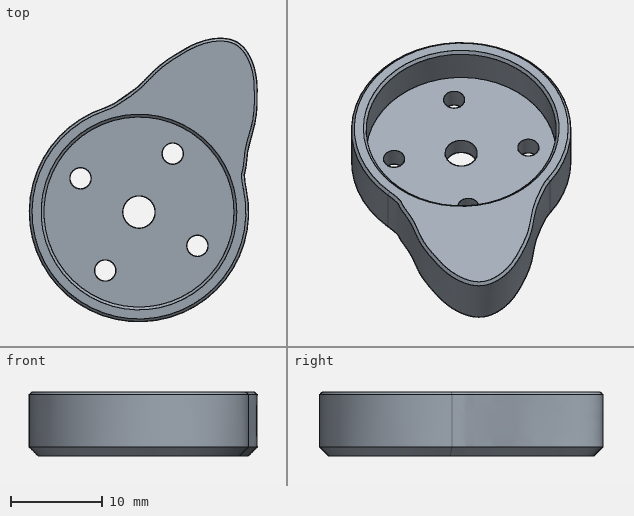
import cadquery as cq
import math

CUP_RADIUS = 12.0
HEIGHT = 7.0
BORE_DIAMETER = 20.8
FLOOR_THICKNESS = 2.5
TOP_CHAMFER = 0.3
BOTTOM_CHAMFER = 1.0

CENTRE_HOLE_DIAMETER = 3.5
CENTRE_HOLE_CHAMFER = 0.3
SCREW_HOLE_DIAMETER = 2.3
SCREW_CIRCLE_RADIUS = 7.4
SCREW_COUNT = 4

LOBE_ANGLE = 60.0
LOBE_BLEND_ANGLE = 48.0
LOBE_TIP = (21.47, 0.0)
LOBE_FLANK = [(9.93, 7.75), (11.73, 6.98), (14.65, 6.17), (17.4, 4.9), (19.92, 3.1)]


def mirrored(point):
    """Reflect a point across the lobe axis."""
    return (point[0], -point[1])


def body():
    """Solid cup and lobe, with the lobe axis turned from X to its final angle."""
    blend = math.radians(LOBE_BLEND_ANGLE)
    start = (CUP_RADIUS * math.cos(blend), CUP_RADIUS * math.sin(blend))
    end = mirrored(start)
    start_direction = (math.sin(blend), -math.cos(blend))
    end_direction = (-start_direction[0], start_direction[1])
    other_flank = [mirrored(point) for point in reversed(LOBE_FLANK)]
    lobe_points = LOBE_FLANK + [LOBE_TIP] + other_flank + [end]
    return (
        cq.Workplane("XY")
        .moveTo(*start)
        .spline(lobe_points, tangents=[start_direction, end_direction], includeCurrent=True)
        .threePointArc((-CUP_RADIUS, 0), start)
        .close()
        .extrude(HEIGHT)
        .rotate((0, 0, 0), (0, 0, 1), LOBE_ANGLE)
    )


def bore():
    """Blind bore of the cup, flared at the rim."""
    radius = BORE_DIAMETER / 2
    return (
        cq.Workplane("XZ")
        .moveTo(0, FLOOR_THICKNESS)
        .lineTo(radius, FLOOR_THICKNESS)
        .lineTo(radius, HEIGHT - TOP_CHAMFER)
        .lineTo(radius + TOP_CHAMFER, HEIGHT)
        .lineTo(0, HEIGHT)
        .close()
        .revolve(360, (0, 0), (0, 1))
    )


def floor_holes():
    """Centre hole, flared at the underside, and the ring of screw holes, one of them on the lobe axis."""
    centre_radius = CENTRE_HOLE_DIAMETER / 2
    centre_hole = cq.Workplane("XY").circle(centre_radius).extrude(HEIGHT)
    centre_flare = cq.Workplane("XY").add(
        cq.Solid.makeCone(centre_radius + CENTRE_HOLE_CHAMFER, centre_radius, CENTRE_HOLE_CHAMFER)
    )
    screw_holes = (
        cq.Workplane("XY")
        .polarArray(SCREW_CIRCLE_RADIUS, LOBE_ANGLE, 360, SCREW_COUNT)
        .circle(SCREW_HOLE_DIAMETER / 2)
        .extrude(HEIGHT)
    )
    return centre_hole.union(centre_flare).union(screw_holes)


outer = body().faces(">Z").edges().chamfer(TOP_CHAMFER)
outer = outer.faces("<Z").edges().chamfer(BOTTOM_CHAMFER)
result = outer.cut(bore()).cut(floor_holes())